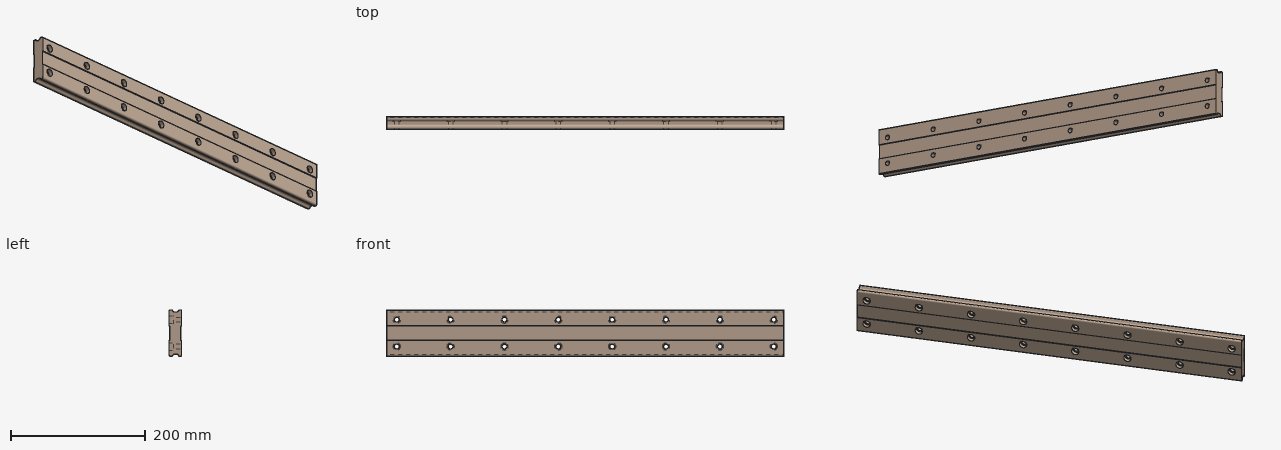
import cadquery as cq
import math

length = 590.0
thickness = 19.0
height = 69.0

rear_corner_radius = 2.5
front_corner_chamfer = 0.8

groove_offset = -0.5
groove_depth = 3.0
groove_floor_width = 6.0
groove_flank_angle = 55.0
groove_floor_radius = 2.0
groove_rim_radius = 0.5

recess_depth = 1.0
recess_rim_height = 22.0
recess_taper = 0.5

hole_diameter = 7.0
counterbore_diameter = 11.0
counterbore_depth = 7.0
hole_pitch = 80.0
holes_per_row = 8
row_spacing = 40.0

flank_run = groove_depth / math.tan(math.radians(groove_flank_angle))
groove_rim_width = groove_floor_width + 2 * flank_run


def trough(rim_width, floor_width, depth, rim_level):
    """Full-length trapezoidal cutter, opening upward at the height rim_level."""
    floor_level = rim_level - depth
    return (
        cq.Workplane("YZ")
        .polyline(
            [
                (-rim_width / 2, rim_level),
                (-floor_width / 2, floor_level),
                (floor_width / 2, floor_level),
                (rim_width / 2, rim_level),
            ]
        )
        .close()
        .extrude(length / 2, both=True)
    )


def groove_edges(bar, width):
    """Lengthwise edges lying within a groove of the given width."""
    margin = groove_rim_radius / 10
    half_width = width / 2 + margin
    zone = cq.selectors.BoxSelector(
        (-length, groove_offset - half_width, -height),
        (length, groove_offset + half_width, height),
    )
    return bar.edges("|X").edges(zone)


def grooved_bar():
    """Bar with eased corners and a rounded groove in its top and bottom edges."""
    bar = cq.Workplane("XY").box(length, thickness, height)
    bar = bar.faces(">Y").edges("|X").fillet(rear_corner_radius)
    bar = bar.faces("<Y").edges("|X").chamfer(front_corner_chamfer)
    top_groove = trough(groove_rim_width, groove_floor_width, groove_depth, height / 2)
    top_groove = top_groove.translate((0, groove_offset, 0))
    bar = bar.cut(top_groove).cut(top_groove.mirror("XY"))
    bar = groove_edges(bar, groove_floor_width).fillet(groove_floor_radius)
    rims = groove_edges(bar, groove_rim_width).edges(">Z or <Z")
    return rims.fillet(groove_rim_radius)


def face_recesses():
    """Cutters for the shallow channels along the middle of both broad faces."""
    floor_height = recess_rim_height - 2 * recess_taper
    upward = trough(recess_rim_height, floor_height, recess_depth, thickness / 2)
    rear = upward.rotate((0, 0, 0), (1, 0, 0), -90)
    return rear.union(rear.mirror("XZ"))


def mounting_holes():
    """Through holes along Y, counterbored from the +Y face."""
    rear_face = cq.Workplane("XZ", origin=(0, thickness / 2, 0))
    hole_grid = rear_face.rarray(hole_pitch, row_spacing, holes_per_row, 2)
    shanks = hole_grid.circle(hole_diameter / 2).extrude(thickness)
    heads = hole_grid.circle(counterbore_diameter / 2).extrude(counterbore_depth)
    return shanks.union(heads)


result = grooved_bar().cut(face_recesses()).cut(mounting_holes())